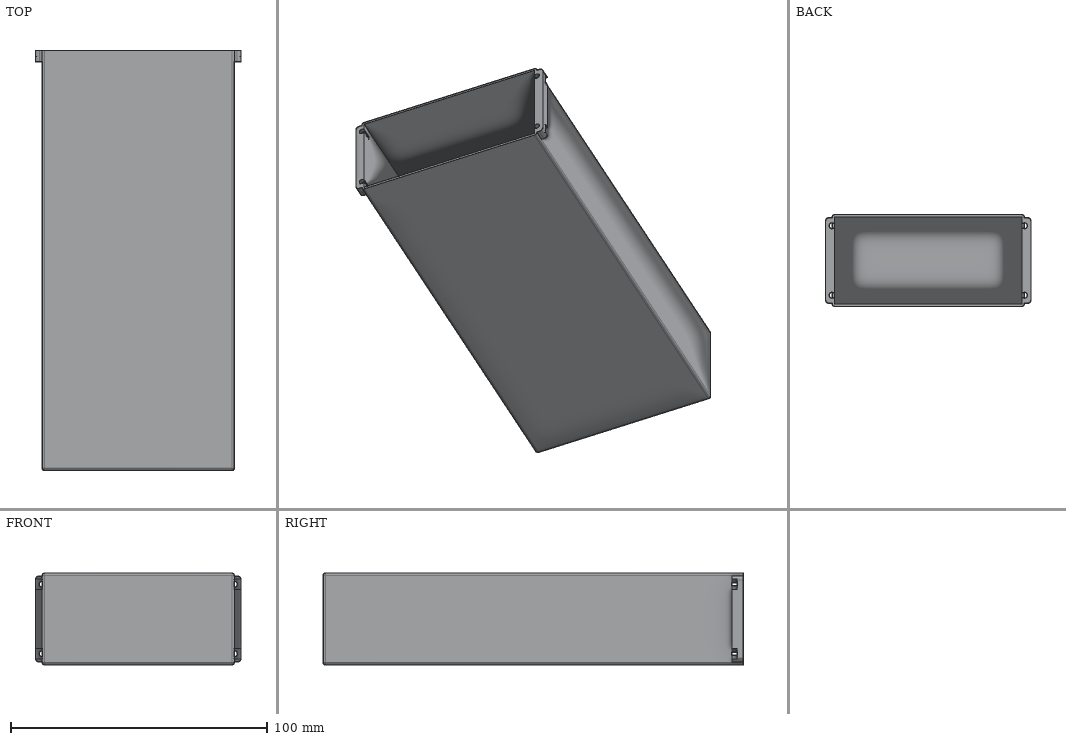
import cadquery as cq

LENGTH = 164.0
BODY_WIDTH = 75.0
BODY_HEIGHT = 35.9
WALL = 1.0
EDGE_RADIUS = 1.0

OVERALL_WIDTH = 80.2
FLANGE_LENGTH = 4.5
FLANGE_HEIGHT = 33.5
FLANGE_RADIUS = 1.5

NOTCH_HEIGHT = 4.2
NOTCH_LENGTH = 2.0
NOTCH_EDGE_DISTANCE = 4.4
SLIT_HEIGHT = 1.1
HOLE_DIAMETER = 2.2

REAR_Y = LENGTH / 2
HALF_WIDTH = BODY_WIDTH / 2
FLANGE_FRONT_Y = REAR_Y - FLANGE_LENGTH
NOTCH_Z = BODY_HEIGHT / 2 - NOTCH_EDGE_DISTANCE


def make_body():
    """Solid block with every edge rounded except those around the rear face."""
    body = cq.Workplane("XY").box(BODY_WIDTH, LENGTH, BODY_HEIGHT)
    return body.edges("|Y or <Y").fillet(EDGE_RADIUS)


def make_flange_bar():
    """Bar across the rear whose two ends form the side flanges."""
    bar = cq.Workplane("XY").box(OVERALL_WIDTH, FLANGE_LENGTH, FLANGE_HEIGHT)
    bar = bar.edges("|Y").fillet(FLANGE_RADIUS)
    return bar.translate((0, REAR_Y - FLANGE_LENGTH / 2, 0))


def make_cavity():
    """Inside space of the cover, running out through the rear face."""
    cavity = cq.Workplane("XY").box(BODY_WIDTH - 2 * WALL, LENGTH - WALL, BODY_HEIGHT - 2 * WALL)
    return cavity.translate((0, WALL / 2, 0))


def make_notch(side, z):
    """Flange notch that tapers through the side wall to a narrow slit."""
    outer_x = side * OVERALL_WIDTH / 2
    wall_x = side * HALF_WIDTH
    inner_x = side * (HALF_WIDTH - WALL)
    half_notch = NOTCH_HEIGHT / 2
    half_slit = SLIT_HEIGHT / 2
    outline = [
        (outer_x, z + half_notch),
        (wall_x, z + half_notch),
        (inner_x, z + half_slit),
        (inner_x, z - half_slit),
        (wall_x, z - half_notch),
        (outer_x, z - half_notch),
    ]
    front_plane = cq.Workplane("XZ", origin=(0, FLANGE_FRONT_Y, 0))
    return front_plane.polyline(outline).close().extrude(-NOTCH_LENGTH)


def make_hole(side, z):
    """Round hole along Y from the notch through the rear of the flange."""
    front_plane = cq.Workplane("XZ", origin=(0, FLANGE_FRONT_Y, 0))
    return front_plane.center(side * HALF_WIDTH, z).circle(HOLE_DIAMETER / 2).extrude(-FLANGE_LENGTH)


result = make_body().union(make_flange_bar()).cut(make_cavity())
for side in (-1, 1):
    for z in (-NOTCH_Z, NOTCH_Z):
        result = result.cut(make_notch(side, z)).cut(make_hole(side, z))